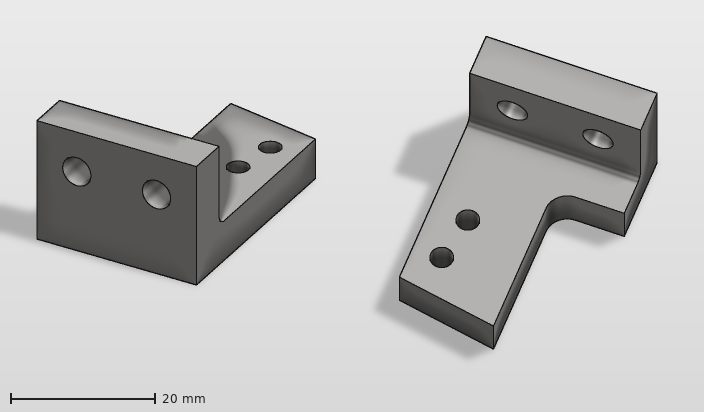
import cadquery as cq
import math

width = 25.4
length = 36.09
height = 19.05
thickness = 6.35
foot_depth = 12.7
arm_width = 15.0
tip_angle = 10.0
foot_arm_radius = 3.175
plate_base_radius = 1.5

plate_hole_diameter = 4.496
plate_hole_spacing = width / 2
plate_hole_height = 12.7

arm_hole_diameter = 3.264
arm_hole_spacing = 7.0
outer_arm_hole = (21.05, 28.39)

arm_left = width - arm_width
tip_slope = math.radians(tip_angle)
tip_right_y = length - arm_width * math.tan(tip_slope)
inner_arm_hole = (
    outer_arm_hole[0] - arm_hole_spacing * math.sin(tip_slope),
    outer_arm_hole[1] - arm_hole_spacing * math.cos(tip_slope),
)


def base():
    """L-shaped base: full-width foot and an arm with a sloped tip."""
    corner_x = arm_left - foot_arm_radius
    corner_y = foot_depth + foot_arm_radius
    return (
        cq.Workplane("XY")
        .moveTo(0, 0)
        .lineTo(width, 0)
        .lineTo(width, tip_right_y)
        .lineTo(arm_left, length)
        .lineTo(arm_left, corner_y)
        .radiusArc((corner_x, foot_depth), foot_arm_radius)
        .lineTo(0, foot_depth)
        .close()
        .extrude(thickness)
    )


def upright_plate():
    """Upright plate with the concave fillet down to the base, swept along X."""
    fillet_end_y = thickness + plate_base_radius
    fillet_top_z = thickness + plate_base_radius
    return (
        cq.Workplane("YZ")
        .moveTo(0, 0)
        .lineTo(fillet_end_y, 0)
        .lineTo(fillet_end_y, thickness)
        .radiusArc((thickness, fillet_top_z), plate_base_radius)
        .lineTo(thickness, height)
        .lineTo(0, height)
        .close()
        .extrude(width)
    )


def plate_holes():
    """Two through holes along Y, symmetric about the plate's middle."""
    offset = plate_hole_spacing / 2
    return (
        cq.Workplane("XZ", origin=(width / 2, 0, plate_hole_height))
        .pushPoints([(-offset, 0), (offset, 0)])
        .circle(plate_hole_diameter / 2)
        .extrude(-thickness)
    )


def arm_holes():
    """Two vertical through holes in the arm."""
    return (
        cq.Workplane("XY")
        .pushPoints([outer_arm_hole, inner_arm_hole])
        .circle(arm_hole_diameter / 2)
        .extrude(thickness)
    )


result = base().union(upright_plate()).cut(plate_holes()).cut(arm_holes())